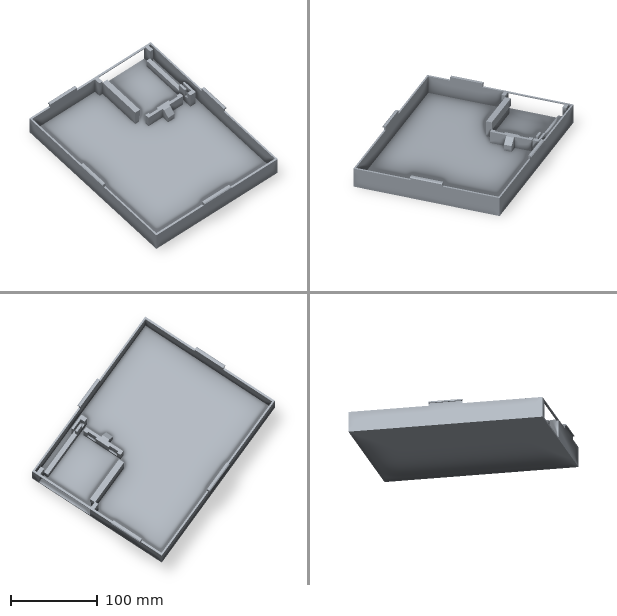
import cadquery as cq

clip_reach = 2.0
clip_height = 5.0
overall_length = 234
overall_width = 185.5
overall_height = 29.0
tray_length = overall_length - 2 * clip_reach
tray_width = overall_width - 2 * clip_reach
tray_height = overall_height - clip_height
end_wall = 2.5
side_wall = 2.0
floor = 2.0

x_left = -tray_length / 2
y_back = tray_width / 2
x_inside = x_left + end_wall
y_inside = y_back - side_wall

clip_length = 40.0
nib_height = 2.0
nib_bevel = 1.0
left_clip_shift = 41.5

bay_back = y_back - 9.5
bay_front = y_back - 80.7
window_top = 23.0
jamb_length = 8.0
jamb_width = 4.7
x_rail = x_inside + jamb_length
x_rail_end = x_left + 69.7
rail_top = 12.0
bay_top = 22.0
back_rail_width = 5.4
front_rail_width = 5.5
front_head_width = 7.0

post_length = 20.4
post_back = bay_back + 2.5
channel_width = 2.5
channel_length = 15.2
cheek_length = 10.3

plate_x = x_left + 76.5
plate_thickness = 5.5
plate_back = y_back - 19.2
plate_front = y_back - 71.1
plate_top = 16.8
notch_depth = 2.0
notch_width = 12.0
notch_bottom = 5.4
notch_margin = 5.1
notch_gap = 18.3
notch_start = plate_back - notch_margin

buttress_width = 9.5
buttress_back = y_back - 40.2
buttress_flat = 2.5
buttress_slope = 7.3
buttress_drop = 7.3


def block(x0, x1, y0, y1, z0, z1):
    """Box between two opposite corners."""
    return cq.Workplane("XY").box(x1 - x0, y1 - y0, z1 - z0, centered=False).translate((x0, y0, z0))


def make_tray():
    outside = block(x_left, -x_left, -y_back, y_back, 0, tray_height)
    inside = block(x_inside, -x_inside, -y_inside, y_inside, floor, tray_height)
    return outside.cut(inside)


def make_clip(edge_distance, wall, turn, shift=0):
    """Clip with a bevelled nib, built on the +X rim, slid along it and turned about Z."""
    profile = [
        (edge_distance - wall, tray_height),
        (edge_distance, tray_height),
        (edge_distance, overall_height - nib_height),
        (edge_distance + clip_reach, overall_height - nib_height),
        (edge_distance + clip_reach, overall_height - nib_bevel),
        (edge_distance + clip_reach - nib_bevel, overall_height),
        (edge_distance - wall, overall_height),
    ]
    clip = cq.Workplane("XZ").polyline(profile).close().extrude(clip_length / 2, both=True)
    return clip.translate((0, shift, 0)).rotate((0, 0, 0), (0, 0, 1), turn)


def make_jambs():
    back = block(x_inside, x_rail, bay_back, bay_back + jamb_width, floor, tray_height)
    front = block(x_inside, x_rail, bay_front - jamb_width, bay_front, floor, tray_height)
    return back.union(front)


def make_front_rail():
    """Rail whose upper half overhangs the bay."""
    foot = block(x_rail, x_rail_end, bay_front, bay_front + front_rail_width, floor, rail_top)
    head = block(x_rail, x_rail_end, bay_front, bay_front + front_head_width, rail_top, bay_top)
    return foot.union(head)


def make_back_rail():
    """Low rail ending in a tall post that is split by an L-shaped channel."""
    rail_front = bay_back - back_rail_width
    rail = block(x_rail, x_rail_end, rail_front, bay_back, floor, rail_top)
    post = block(x_rail_end, x_rail_end + post_length, rail_front, post_back, floor, bay_top)
    x_cheek = x_rail_end + cheek_length
    x_channel = x_rail_end + channel_length
    along = block(x_rail_end, x_channel, bay_back - channel_width, bay_back, rail_top, bay_top)
    across = block(x_cheek, x_channel, rail_front, bay_back, rail_top, bay_top)
    return rail.union(post).cut(along).cut(across)


def make_stop_plate():
    plate = block(plate_x, plate_x + plate_thickness, plate_front, plate_back, floor, plate_top)
    x_notch_end = plate_x + notch_depth
    for i in range(2):
        y = notch_start - i * (notch_width + notch_gap)
        notch = block(plate_x, x_notch_end, y - notch_width, y, notch_bottom, plate_top)
        plate = plate.cut(notch)
    return plate


def make_buttress():
    x_plate_rear = plate_x + plate_thickness
    x_slope = x_plate_rear + buttress_flat
    x_end = x_slope + buttress_slope
    profile = [
        (x_plate_rear, floor),
        (x_plate_rear, plate_top),
        (x_slope, plate_top),
        (x_end, plate_top - buttress_drop),
        (x_end, floor),
    ]
    buttress = cq.Workplane("XZ").polyline(profile).close().extrude(buttress_width)
    return buttress.translate((0, buttress_back, 0))


window = block(x_left, x_inside, bay_front, bay_back, floor, window_top)

parts = [
    make_clip(-x_left, end_wall, 0),
    make_clip(y_back, side_wall, 90),
    make_clip(-x_left, end_wall, 180, left_clip_shift),
    make_clip(y_back, side_wall, 270),
    make_jambs(),
    make_front_rail(),
    make_back_rail(),
    make_stop_plate(),
    make_buttress(),
]

result = make_tray().cut(window)
for part in parts:
    result = result.union(part)